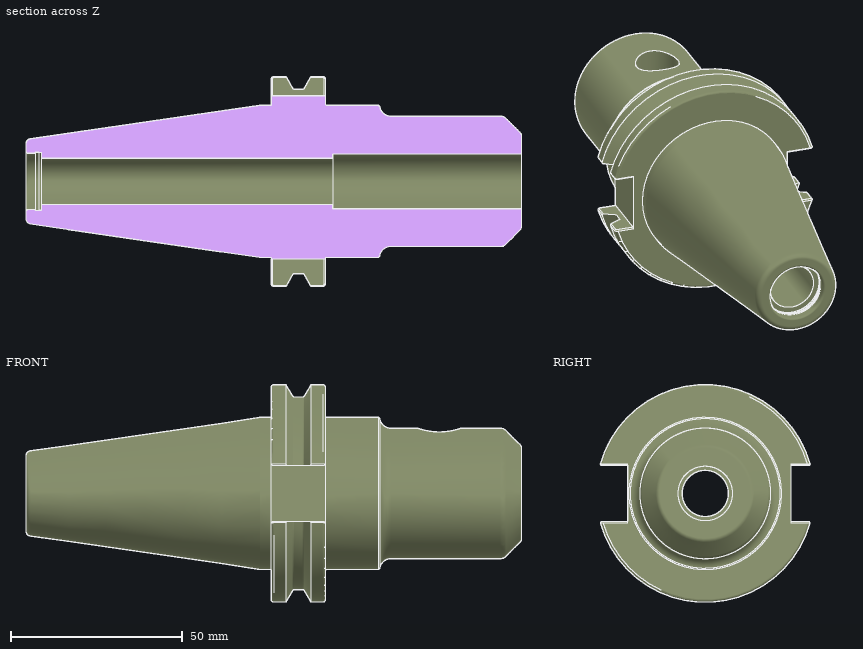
import cadquery as cq
import math

tolerance = 1e-6

gauge_diameter = 44.45
taper_length = 68.25
taper_ratio = 7 / 24
shank_corner_radius = 1.6

flange_diameter = 63.5
flange_start = 3.18
flange_width = 15.88
flange_end = flange_start + flange_width
flange_edge_radius = 0.8
groove_bottom_diameter = 56.2
groove_bottom_width = 3.05
groove_half_angle = 30
groove_center = 11.18
groove_root_radius = 0.5

slot_width = 16.3
slot_floor_front = 22.6
slot_floor_back = 25.0
slot_edge_chamfer = 0.4

overall_length = 144.45
nose_end = overall_length - taper_length
collar_diameter = gauge_diameter
collar_root_radius = 0.3
collar_end = 34.9
collar_chamfer = 0.4
nose_diameter = 38.1
nose_root_radius = (collar_diameter - nose_diameter) / 2
nose_chamfer = 5.25
nose_blend_radius = 2.0
end_blend_radius = 1.5

thread_bore_diameter = 13.39
pilot_diameter = 16.3
pilot_end = 2.8
relief_diameter = 16.88
relief_end = 3.8
relief_floor_diameter = 16.8
relief_floor = 4.5
pilot_mouth_radius = 0.75
tool_bore_diameter = 15.88
tool_bore_depth = 55.0

screw_hole_diameter = 12.75
screw_hole_x = 52.2


def revolve_about_axis(outline):
    return outline.close().revolve(360, (0, 0, 0), (1, 0, 0))


def rings_at(body, x):
    """Circular edges of the body that lie in the plane at this X."""
    return body.edges("%CIRCLE").filter(lambda edge: abs(edge.Center().x - x) < tolerance)


def make_shank():
    end_radius = (gauge_diameter - taper_length * taper_ratio) / 2
    outline = (
        cq.Workplane("XY")
        .moveTo(-taper_length, 0)
        .lineTo(-taper_length, end_radius)
        .lineTo(0, gauge_diameter / 2)
        .lineTo(flange_start, gauge_diameter / 2)
        .lineTo(flange_start, 0)
    )
    return revolve_about_axis(outline).faces("<X").edges().fillet(shank_corner_radius)


def make_drive_slot(side, floor):
    slot = cq.Workplane("XY").box(flange_width, flange_diameter, slot_width)
    slot_x = flange_start + flange_width / 2
    slot_y = side * (floor + flange_diameter / 2)
    return slot.translate((slot_x, slot_y, 0))


def make_gripper_groove():
    groove_depth = (flange_diameter - groove_bottom_diameter) / 2
    half_bottom = groove_bottom_width / 2
    half_mouth = half_bottom + groove_depth * math.tan(math.radians(groove_half_angle))
    outline = (
        cq.Workplane("XY")
        .moveTo(groove_center - half_bottom, groove_bottom_diameter / 2)
        .lineTo(groove_center - half_mouth, flange_diameter / 2)
        .lineTo(groove_center + half_mouth, flange_diameter / 2)
        .lineTo(groove_center + half_bottom, groove_bottom_diameter / 2)
    )
    bottom_edges = cq.selectors.RadiusNthSelector(0)
    return revolve_about_axis(outline).edges(bottom_edges).fillet(groove_root_radius)


def is_open_rim(edge):
    y = edge.Center().y
    on_front_floor = abs(y + slot_floor_front) < tolerance
    on_back_floor = abs(y - slot_floor_back) < tolerance
    return not (on_front_floor or on_back_floor)


def make_flange():
    flange = (
        cq.Workplane("YZ", origin=(flange_start, 0, 0))
        .circle(flange_diameter / 2)
        .extrude(flange_width)
        .edges("%CIRCLE")
        .fillet(flange_edge_radius)
    )
    flange = flange.cut(make_drive_slot(-1, slot_floor_front))
    flange = flange.cut(make_drive_slot(1, slot_floor_back))
    flange = flange.faces("+Z or -Z").edges().filter(is_open_rim).chamfer(slot_edge_chamfer)
    return flange.cut(make_gripper_groove())


def make_nose():
    collar_radius = collar_diameter / 2
    nose_radius = nose_diameter / 2
    root_start_radius = collar_radius - collar_chamfer
    root_center_radius = nose_radius + nose_root_radius
    root_center_x = collar_end + math.sqrt(
        nose_root_radius**2 - (root_center_radius - root_start_radius) ** 2
    )
    chamfer_start = nose_end - nose_chamfer
    outline = (
        cq.Workplane("XY")
        .moveTo(flange_start, 0)
        .lineTo(flange_start, collar_radius)
        .lineTo(flange_end, collar_radius)
        .lineTo(flange_end, collar_radius + collar_root_radius)
        .radiusArc((flange_end + collar_root_radius, collar_radius), -collar_root_radius)
        .lineTo(collar_end - collar_chamfer, collar_radius)
        .lineTo(collar_end, root_start_radius)
        .radiusArc((root_center_x, nose_radius), -nose_root_radius)
        .lineTo(chamfer_start, nose_radius)
        .lineTo(nose_end, nose_radius - nose_chamfer)
        .lineTo(nose_end, 0)
    )
    nose = revolve_about_axis(outline)
    nose = rings_at(nose, nose_end).fillet(end_blend_radius)
    return rings_at(nose, chamfer_start).fillet(nose_blend_radius)


def make_pilot_bore():
    shank_end = -taper_length
    pilot_radius = pilot_diameter / 2
    outline = (
        cq.Workplane("XY")
        .moveTo(shank_end, 0)
        .lineTo(shank_end, pilot_radius + pilot_mouth_radius)
        .radiusArc((shank_end + pilot_mouth_radius, pilot_radius), -pilot_mouth_radius)
        .lineTo(shank_end + pilot_end, pilot_radius)
        .lineTo(shank_end + pilot_end, relief_diameter / 2)
        .lineTo(shank_end + relief_end, relief_diameter / 2)
        .lineTo(shank_end + relief_end, relief_floor_diameter / 2)
        .lineTo(shank_end + relief_floor, relief_floor_diameter / 2)
        .lineTo(shank_end + relief_floor, 0)
    )
    return revolve_about_axis(outline)


def make_thread_bore():
    start = cq.Workplane("YZ", origin=(-taper_length, 0, 0))
    return start.circle(thread_bore_diameter / 2).extrude(overall_length)


def make_tool_bore():
    start = cq.Workplane("YZ", origin=(nose_end, 0, 0))
    return start.circle(tool_bore_diameter / 2).extrude(-tool_bore_depth)


def make_screw_hole():
    start = cq.Workplane("XY", origin=(screw_hole_x, 0, 0))
    return start.circle(screw_hole_diameter / 2).extrude(nose_diameter)


result = make_shank().union(make_flange()).union(make_nose())
for bore in (make_pilot_bore(), make_thread_bore(), make_tool_bore(), make_screw_hole()):
    result = result.cut(bore)